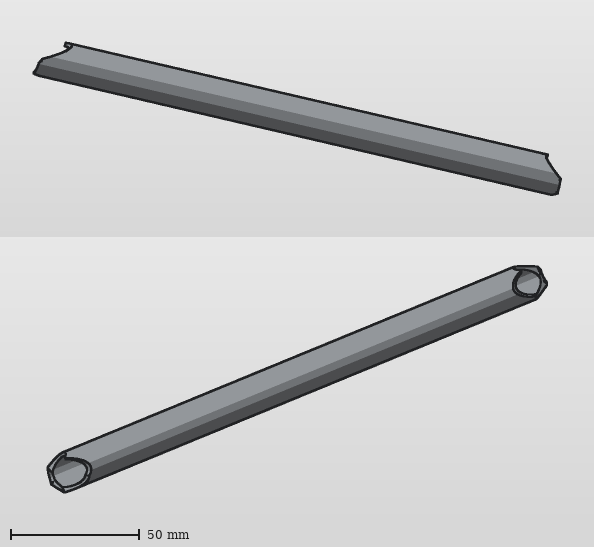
import cadquery as cq
OUTER_DIAMETER = 15.0
WALL = 1.5
INNER_DIAMETER = OUTER_DIAMETER - 2 * WALL

UPPER_JOINT = cq.Vector(-69.0, -78.0, 31.7)
LOWER_JOINT = cq.Vector(64.5, 85.1, -29.6)

UPPER_NEIGHBOURS = [
    cq.Vector(0, 1, 0),
    cq.Vector(0.555, 0.585, 0.595),
    cq.Vector(-0.340, 0.520, -0.785),
]
LOWER_NEIGHBOURS = [
    cq.Vector(1, 0, 0),
    cq.Vector(0.957, 0, -0.290),
    cq.Vector(-0.080, 0.145, -0.986),
]
NEIGHBOUR_REACH = 60.0


def straight_tube():
    """Plain tube from joint centre to joint centre, before coping."""
    axis = LOWER_JOINT - UPPER_JOINT
    start = cq.Plane(origin=UPPER_JOINT, normal=axis)
    section = cq.Workplane(start).circle(OUTER_DIAMETER / 2).circle(INNER_DIAMETER / 2)
    return section.extrude(axis.Length)


def neighbour(joint, direction):
    """Solid outline of a neighbouring tube passing through a joint centre."""
    axis = direction.normalized()
    start = joint - axis * NEIGHBOUR_REACH
    return cq.Solid.makeCylinder(OUTER_DIAMETER / 2, 2 * NEIGHBOUR_REACH, start, axis)


def cope(tube, joint, directions):
    """Cut a tube end back to the outsides of its neighbours."""
    for direction in directions:
        tube = tube.cut(cq.Workplane(neighbour(joint, direction)))
    return tube


def longest_piece(tube):
    """Drop the slivers left loose beyond the copes."""
    return cq.Workplane(max(tube.solids().vals(), key=lambda solid: solid.Volume()))


tube = cope(straight_tube(), UPPER_JOINT, UPPER_NEIGHBOURS)
tube = cope(tube, LOWER_JOINT, LOWER_NEIGHBOURS)
result = longest_piece(tube)